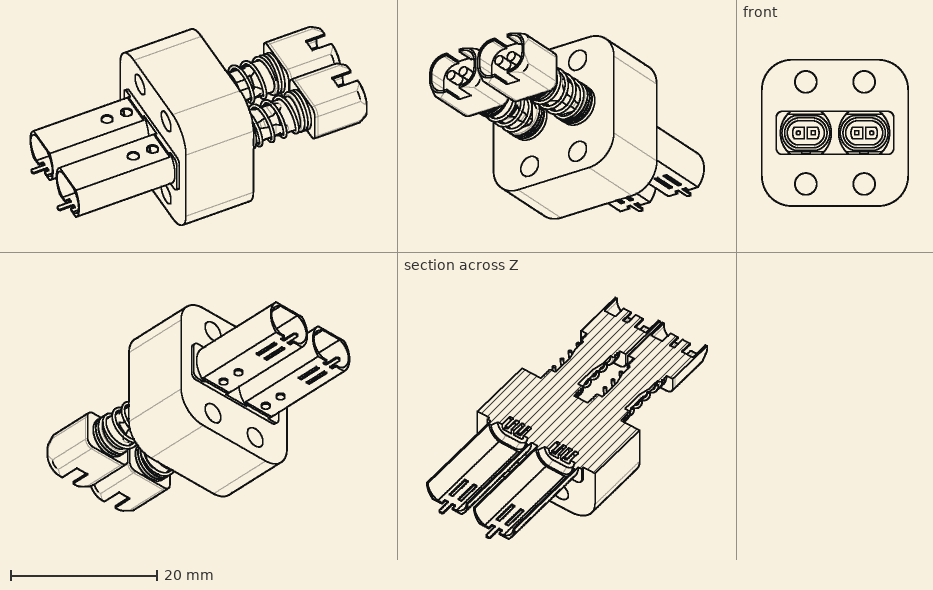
import cadquery as cq
import math


OVERALL_LENGTH = 45.3

BLOCK_SIZE = 20.0
BLOCK_DEPTH = 10.35
BLOCK_CORNER = 4.1
HOLE_DIAMETER = 2.95
HOLE_HEIGHT = 6.98
CONNECTOR_X = 4.0

PLATE_WIDTH = 16.05
PLATE_HEIGHT = 5.9
PLATE_DEPTH = 0.4
PLATE_CORNER = 0.8
RING_DEPTH = 0.7
SHELL_LENGTH = 15.05
SHELL_ARC = 3.75
SHELL_WIDTH = 6.98
SHELL_HEIGHT = 5.15
SHELL_WALL = 0.23
BORE_FLAT = 3.15
BORE_DEPTH = 14.05
FUNNEL_MOUTH = (5.8, 4.08)
FUNNEL_FLOOR = (5.07, 3.25)
FUNNEL_FLAT = 2.35
WINDOW_DIAMETER = 1.6
PEG_DIAMETER = 1.2
PEG_HEIGHT = 0.25
WINDOW_PLACES = (-2.1, -5.05)

CONTACT_SPACING = 2.05
SOCKET_SIZE = 1.6
SOCKET_DEPTH = 1.8
SOCKET_BULGE = 0.23
CONTACT_PIN = 0.55

TONGUE_GAP = 2.05
TONGUE_GAP_LENGTH = 5.45
TONGUE_WIDTH = 0.95
TONGUE_SHOULDER = 1.9
TONGUE_THICKNESS = 0.23
TAIL_WIDTH = 0.7
TAIL_LENGTH = 1.5
TAIL_CHAMFER = 0.15
NOTCH_WIDTH = 0.55
NOTCH_DEPTH = 0.7

HEAD_WIDTH = 7.65
HEAD_HEIGHT = 5.85
HEAD_LENGTH = 7.95
HEAD_CORNER = 1.1
HEAD_TIP_CORNER = 2.35
HEAD_TIP_LENGTH = 1.0
HEAD_BEVEL_LENGTH = 0.4
HEAD_BEVEL = 0.025
HEAD_WALL = 0.3
SLOT_WIDTH = 2.05
SLOT_DEPTH = 2.9
POST_DIAMETER = 1.3
REAR_END = OVERALL_LENGTH - SHELL_LENGTH - TAIL_LENGTH
HEAD_START = REAR_END - HEAD_LENGTH

COLLAR_DIAMETER = 5.7
COLLAR_LENGTH = 0.65
PLUNGER_RADIUS = 2.35
NECK_RADIUS = 2.2
NECK_START = 13.6
NECK_END = 16.4
NECK_TAPER = 0.65
SQUARE_SIZE = 3.9
SQUARE_END = 15.75
ROUND_START = 17.5

SPRING_RADIUS = 2.9
WIRE_DIAMETER = 0.45
CLOSED_PITCH = 0.5
CLOSED_COILS = 3
OPEN_COILS = 4


def block_along_y(width, height, start, end, x=0.0, z=0.0):
    return cq.Workplane("XY").box(width, end - start, height).translate((x, (start + end) / 2, z))


def rod_along_y(diameter, start, end, x=0.0):
    return cq.Workplane("XZ", origin=(x, start, 0)).circle(diameter / 2).extrude(start - end)


def rod_along_z(diameter, bottom, top, y):
    return cq.Workplane("XY", origin=(0, y, bottom)).circle(diameter / 2).extrude(top - bottom)


def mounting_block():
    body = block_along_y(BLOCK_SIZE, BLOCK_SIZE, 0, BLOCK_DEPTH).edges("|Y").fillet(BLOCK_CORNER)
    for x in (-CONNECTOR_X, CONNECTOR_X):
        for z in (-HOLE_HEIGHT, HOLE_HEIGHT):
            body = body.cut(rod_along_y(HOLE_DIAMETER, 0, BLOCK_DEPTH, x).translate((0, 0, z)))
    plate = block_along_y(PLATE_WIDTH, PLATE_HEIGHT, -PLATE_DEPTH, 0).edges("|Y").fillet(PLATE_CORNER)
    return body.union(plate)


def arc_sided_outline(plane, width, height, flat):
    """Flat top and bottom joined by one arc on each side."""
    half_width, half_height, half_flat = width / 2, height / 2, flat / 2
    return (
        plane.moveTo(-half_flat, half_height)
        .lineTo(half_flat, half_height)
        .threePointArc((half_width, 0), (half_flat, -half_height))
        .lineTo(-half_flat, -half_height)
        .threePointArc((-half_width, 0), (-half_flat, half_height))
        .close()
    )


def shell_section(height, length):
    """Bar forward from the block face; any height keeps the same side arcs."""
    half_flat = math.sqrt(SHELL_ARC ** 2 - (height / 2) ** 2) + SHELL_WIDTH / 2 - SHELL_ARC
    return arc_sided_outline(cq.Workplane("XZ"), SHELL_WIDTH, height, 2 * half_flat).extrude(length)


def shell_bore():
    """Straight bore ending in a short funnel whose floor is level with the block face."""
    mouth_y = BORE_DEPTH - SHELL_LENGTH
    bore_width = SHELL_WIDTH - 2 * SHELL_WALL
    bore_height = SHELL_HEIGHT - 2 * SHELL_WALL
    bore_plane = cq.Workplane("XZ", origin=(0, -SHELL_LENGTH, 0))
    bore = arc_sided_outline(bore_plane, bore_width, bore_height, BORE_FLAT).extrude(-BORE_DEPTH)
    mouth_plane = cq.Workplane("XZ", origin=(0, mouth_y, 0))
    mouth = arc_sided_outline(mouth_plane, *FUNNEL_MOUTH, FUNNEL_FLAT)
    funnel = arc_sided_outline(mouth.workplane(offset=mouth_y), *FUNNEL_FLOOR, FUNNEL_FLAT)
    return bore.union(funnel.loft(ruled=True))


def contact_sockets():
    """Two sockets bulged on their outer sides, one around a round pin and one around a square pin."""
    half = SOCKET_SIZE / 2
    offset = CONTACT_SPACING / 2
    round_socket = (
        cq.Workplane("XZ", origin=(-offset, 0, 0))
        .moveTo(half, half)
        .lineTo(half, -half)
        .lineTo(SOCKET_BULGE - half, -half)
        .threePointArc((-half, 0), (SOCKET_BULGE - half, half))
        .close()
        .extrude(-SOCKET_DEPTH)
    )
    square_socket = round_socket.mirror("YZ")
    round_pin = rod_along_y(CONTACT_PIN, 0, SOCKET_DEPTH, -offset)
    square_pin = block_along_y(CONTACT_PIN, CONTACT_PIN, 0, SOCKET_DEPTH, offset)
    return round_socket.cut(round_pin).union(square_socket.cut(square_pin))


def tongue():
    """Strip along the floor of the shell, ending in a shoulder and a narrow tail."""
    z = -SHELL_HEIGHT / 2 + TONGUE_THICKNESS / 2
    mouth = -SHELL_LENGTH
    strip = block_along_y(TONGUE_WIDTH, TONGUE_THICKNESS, mouth, mouth + TONGUE_GAP_LENGTH, 0, z)
    shoulder = block_along_y(TONGUE_GAP, TONGUE_THICKNESS, mouth, mouth + TONGUE_SHOULDER, 0, z)
    tail = block_along_y(TAIL_WIDTH, TONGUE_THICKNESS, mouth - TAIL_LENGTH, mouth, 0, z)
    for side in (-1, 1):
        notch_x = side * (TAIL_WIDTH + NOTCH_WIDTH) / 2
        notch = block_along_y(NOTCH_WIDTH, TONGUE_THICKNESS, mouth, mouth + NOTCH_DEPTH, notch_x, z)
        shoulder = shoulder.cut(notch)
        strip = strip.cut(notch)
    tail = tail.faces("<Y").edges("|Z").chamfer(TAIL_CHAMFER)
    return strip.union(shoulder).union(tail)


def front_shell():
    half_height = SHELL_HEIGHT / 2
    ring = shell_section(PLATE_HEIGHT, RING_DEPTH)
    shell = shell_section(SHELL_HEIGHT, SHELL_LENGTH).union(ring)
    for y in WINDOW_PLACES:
        shell = shell.cut(rod_along_z(WINDOW_DIAMETER, half_height - SHELL_WALL, half_height, y))
        shell = shell.union(rod_along_z(PEG_DIAMETER, -half_height - PEG_HEIGHT, SHELL_WALL - half_height, y))
    gap = block_along_y(
        TONGUE_GAP,
        2 * SHELL_WALL,
        -SHELL_LENGTH,
        TONGUE_GAP_LENGTH - SHELL_LENGTH,
        z=-half_height,
    )
    return shell.cut(gap).union(tongue())


def tapered_bar(width, height, start, end, start_corner, end_corner):
    """Bar along Y whose corner radius changes from one end to the other."""
    near = cq.Sketch().rect(width, height).vertices().fillet(start_corner)
    far = cq.Sketch().rect(width, height).vertices().fillet(end_corner)
    far = far.moved(cq.Location(cq.Vector(0, 0, start - end)))
    return cq.Workplane("XZ", origin=(0, start, 0)).placeSketch(near, far).loft()


def rear_head():
    """Hollow-ended head with corners that round off towards its tip, slotted above and below."""
    tip_start = REAR_END - HEAD_TIP_LENGTH
    slot_floor = REAR_END - SLOT_DEPTH
    body = block_along_y(HEAD_WIDTH, HEAD_HEIGHT, HEAD_START, tip_start).edges("|Y").fillet(HEAD_CORNER)
    body = body.faces("<Y").chamfer(HEAD_BEVEL, HEAD_BEVEL_LENGTH)
    tip = tapered_bar(HEAD_WIDTH, HEAD_HEIGHT, tip_start, REAR_END, HEAD_CORNER, HEAD_TIP_CORNER)
    cavity = block_along_y(HEAD_WIDTH - 2 * HEAD_WALL, HEAD_HEIGHT - 2 * HEAD_WALL, slot_floor, REAR_END)
    cavity = cavity.edges("|Y").fillet(HEAD_TIP_CORNER - HEAD_WALL)
    slot = block_along_y(SLOT_WIDTH, HEAD_HEIGHT, slot_floor, REAR_END)
    head = body.union(tip).cut(cavity).cut(slot)
    for x in (-CONTACT_SPACING / 2, CONTACT_SPACING / 2):
        head = head.union(rod_along_y(POST_DIAMETER, slot_floor, tip_start, x))
    return head


def closed_coils(start):
    """Touching end coils as a solid of revolution with one half-round bead per coil."""
    valley = SPRING_RADIUS - WIRE_DIAMETER / 2
    outline = cq.Workplane("XY").moveTo(0, start).lineTo(valley, start)
    for coil in range(CLOSED_COILS):
        low = start + coil * CLOSED_PITCH
        outline = outline.threePointArc((SPRING_RADIUS, low + CLOSED_PITCH / 2), (valley, low + CLOSED_PITCH))
    outline = outline.lineTo(0, start + CLOSED_COILS * CLOSED_PITCH).close()
    return outline.revolve(360, (0, 0, 0), (0, 1, 0))


def plunger():
    """Turned shaft with a neck, squared off towards the block by four flats with sloped run-outs."""
    shaft = (
        cq.Workplane("XY")
        .polyline([
            (0, BLOCK_DEPTH),
            (PLUNGER_RADIUS, BLOCK_DEPTH),
            (PLUNGER_RADIUS, NECK_START),
            (NECK_RADIUS, NECK_START + NECK_TAPER),
            (NECK_RADIUS, NECK_END),
            (PLUNGER_RADIUS, NECK_END),
            (PLUNGER_RADIUS, HEAD_START),
            (0, HEAD_START),
        ])
        .close()
        .revolve(360, (0, 0, 0), (0, 1, 0))
    )
    side_cut = (
        cq.Workplane("XY", origin=(0, 0, -PLUNGER_RADIUS))
        .polyline([
            (SQUARE_SIZE / 2, BLOCK_DEPTH),
            (SQUARE_SIZE / 2, SQUARE_END),
            (PLUNGER_RADIUS, ROUND_START),
            (2 * PLUNGER_RADIUS, ROUND_START),
            (2 * PLUNGER_RADIUS, BLOCK_DEPTH),
        ])
        .close()
        .extrude(2 * PLUNGER_RADIUS)
    )
    for quarter in range(4):
        shaft = shaft.cut(side_cut.rotate((0, 0, 0), (0, 1, 0), 90 * quarter))
    return shaft


def spring_and_plunger():
    coil_stack = CLOSED_COILS * CLOSED_PITCH
    lower_stack = BLOCK_DEPTH + COLLAR_LENGTH
    upper_stack = HEAD_START - coil_stack
    wire_radius = SPRING_RADIUS - WIRE_DIAMETER / 2
    open_start = lower_stack + coil_stack - CLOSED_PITCH / 2
    open_length = upper_stack + CLOSED_PITCH / 2 - open_start
    path = cq.Wire.makeHelix(open_length / OPEN_COILS, open_length, wire_radius)
    coil = cq.Workplane("XZ", origin=(wire_radius, 0, 0)).circle(WIRE_DIAMETER / 2).sweep(path, isFrenet=True)
    coil = coil.rotate((0, 0, 0), (1, 0, 0), -90).translate((0, open_start, 0))
    collar = rod_along_y(COLLAR_DIAMETER, BLOCK_DEPTH, lower_stack)
    parts = plunger().union(collar).union(closed_coils(lower_stack)).union(closed_coils(upper_stack))
    return parts.union(coil)


bore = shell_bore()
shell = front_shell()
sockets = contact_sockets()
head = rear_head()
sprung = spring_and_plunger()

result = mounting_block()
for side, side_sockets, turn in ((-1, sockets, 0), (1, sockets.mirror("YZ"), 180)):
    rear = sprung.rotate((0, 0, 0), (0, 1, 0), turn).union(head)
    place = (side * CONNECTOR_X, 0, 0)
    result = result.union(rear.translate(place)).union(shell.translate(place))
    result = result.cut(bore.translate(place)).cut(side_sockets.translate(place))